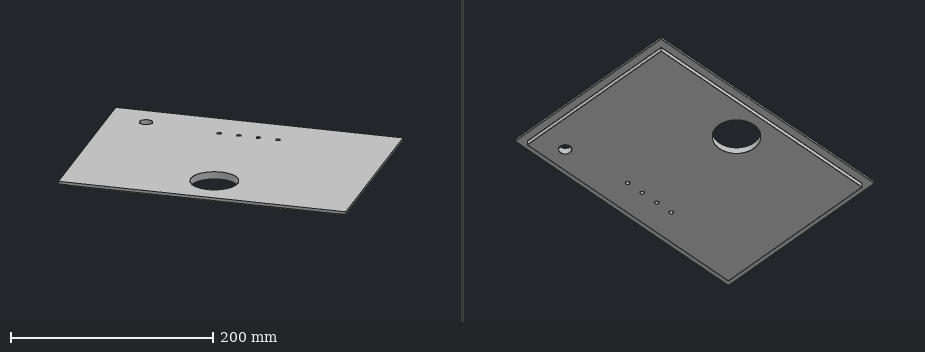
import cadquery as cq

plate_length = 296.0
plate_width = 206.0
total_height = 8.0

step_height = 5.0
step_inset = 8.5
plate_height = total_height - step_height

large_hole_diameter = 48.0
large_hole_y = -59.0
corner_hole_diameter = 13.0
corner_hole_x = -108.0
corner_hole_y = 72.8
small_hole_diameter = 4.0
small_hole_count = 4
small_hole_pitch = 20.0
small_hole_row_y = 64.0


def centred_slab(length, width, height, bottom):
    """Rectangular slab centred on the Z axis, resting at the given height."""
    return (
        cq.Workplane("XY")
        .workplane(offset=bottom)
        .rect(length, width)
        .extrude(height)
    )


def through_holes(diameter, centres):
    """Cylinders that cut through the full height of the part."""
    return (
        cq.Workplane("XY")
        .pushPoints(centres)
        .circle(diameter / 2)
        .extrude(total_height)
    )


step = centred_slab(plate_length - 2 * step_inset, plate_width - 2 * step_inset, step_height, 0)
plate = centred_slab(plate_length, plate_width, plate_height, step_height)
body = step.union(plate)

row_start = -small_hole_pitch * (small_hole_count - 1) / 2
small_hole_centres = [
    (row_start + i * small_hole_pitch, small_hole_row_y) for i in range(small_hole_count)
]

result = (
    body.cut(through_holes(large_hole_diameter, [(0, large_hole_y)]))
    .cut(through_holes(corner_hole_diameter, [(corner_hole_x, corner_hole_y)]))
    .cut(through_holes(small_hole_diameter, small_hole_centres))
)